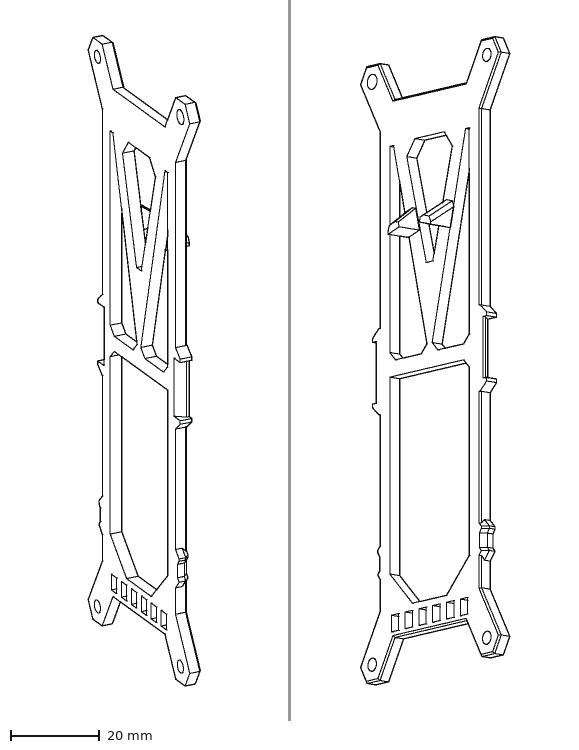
import cadquery as cq
import math

length = 142.0
width = 49.3
plate_thickness = 3.0
total_depth = 9.0
rear_chamfer = 0.4

ear_radius = 4.5
arm_slope = math.tan(math.radians(60))
ear_flat_distance = ear_radius * math.sin(math.radians(60))
hole_x = width / 2 - ear_radius
hole_z = length / 2 - ear_flat_distance
hole_diameter = 3.0
large_hole_diameter = 3.4

rail_outer = 17.8
rail_inner = 13.9
end_bar_edge = 61.9
crossbar_half_height = 1.8
small_chamfer = 2.0

side_window_top = 51.3
side_window_top_x = 12.6
brace_outer_foot_x = 0.92
center_window_top = 51.7
center_window_top_x = 5.1
center_window_shoulder_x = 8.0
center_window_shoulder_z = 48.0
center_window_foot_x = 1.1
center_window_foot_z = 22.6

lower_window_bottom = -55.1
lower_window_chamfer = 8.0
slot_count = 6
slot_pitch = 4.8
slot_width = 2.5
slot_height = 3.8
slot_center_z = -58.6

pad_half_height = 7.1
pad_root_x = 16.9
pad_outer_x = 18.7
pad_slant_depth = 2.3
barb_x = 20.0
barb_tip_z = 8.0
barb_root_z = 10.0

clip_peak_x = 19.5
clip_flat_x = 18.7
clip_top = -39.3
clip_upper_peak_top = -41.0
clip_upper_peak_bottom = -41.6
clip_flat_top = -42.6
clip_flat_bottom = -45.9
clip_lower_peak = -46.7
clip_bottom = -48.7
clip_straight_depth = 1.7
clip_embed = 1.7

hook_rise = 4.1
brace_lean = 0.25
hook_underside = [(3.5, 30.4), (7.4, 29.3)]
hook_roof = [(7.5, 29.8), (7.0, 31.2), (5.0, 31.8), (3.8, 31.5)]


def prism(points, start=0.0, end=plate_thickness):
    """Extrude an (x, z) outline along +Y between two depths."""
    return cq.Workplane("XZ", origin=(0, start, 0)).polyline(points).close().extrude(start - end)


def ruled_solid(start_points, start, end, end_points):
    """Straight-sided solid from an outline at one depth to a moved outline at another."""
    base = cq.Wire.makePolygon([cq.Vector(x, start, z) for x, z in start_points], close=True)
    tip = cq.Wire.makePolygon([cq.Vector(x, end, z) for x, z in end_points], close=True)
    return cq.Workplane(obj=cq.Solid.makeLoft([base, tip], True))


def add_mirrored(body, feature):
    return body.union(feature).union(feature.mirror("YZ"))


def cut_mirrored(body, feature):
    return body.cut(feature).cut(feature.mirror("YZ"))


def frame_blank():
    """Outer outline, symmetric about both axes, with its rear edge chamfered."""
    ear_inner_x = hole_x - ear_radius / 2
    quarter = [
        (ear_inner_x - (length / 2 - end_bar_edge) / arm_slope, end_bar_edge),
        (ear_inner_x, length / 2),
        (hole_x + ear_radius / 2, length / 2),
        (width / 2, hole_z),
        (rail_outer, hole_z - (width / 2 - rail_outer) * arm_slope),
    ]
    right = quarter + [(x, -z) for x, z in reversed(quarter)]
    left = [(-x, z) for x, z in reversed(right)]
    return prism(right + left).faces(">Y").chamfer(rear_chamfer)


def side_window():
    bottom = crossbar_half_height
    return prism([
        (rail_inner, side_window_top),
        (rail_inner, bottom + small_chamfer),
        (rail_inner - small_chamfer, bottom),
        (brace_outer_foot_x + small_chamfer, bottom),
        (brace_outer_foot_x, bottom + small_chamfer),
        (side_window_top_x, side_window_top),
    ])


def center_window():
    right = [
        (center_window_top_x, center_window_top),
        (center_window_shoulder_x, center_window_shoulder_z),
        (center_window_foot_x, center_window_foot_z),
    ]
    return prism(right + [(-x, z) for x, z in reversed(right)])


def lower_window():
    """Large window; of its upper corners only the left one is chamfered."""
    top = -crossbar_half_height
    bottom = lower_window_bottom
    return prism([
        (rail_inner, top),
        (rail_inner, bottom + lower_window_chamfer),
        (rail_inner - lower_window_chamfer, bottom),
        (-rail_inner + lower_window_chamfer, bottom),
        (-rail_inner, bottom + lower_window_chamfer),
        (-rail_inner, top - small_chamfer),
        (-rail_inner + small_chamfer, top),
    ])


def slots():
    row = cq.Workplane("XZ", origin=(0, 0, slot_center_z)).rarray(slot_pitch, 1.4, slot_count, 1)
    return row.rect(slot_width, slot_height).extrude(-plate_thickness)


def ear_hole(x, z, diameter):
    return cq.Workplane("XZ", origin=(x, 0, z)).circle(diameter / 2).extrude(-plate_thickness)


def barb(side):
    """Right-hand barb above (side = 1) or below (side = -1) the pad."""
    return prism([
        (pad_root_x, side * pad_half_height),
        (barb_x, side * pad_half_height),
        (barb_x, side * barb_tip_z),
        (rail_outer, side * barb_root_z),
        (pad_root_x, side * barb_root_z),
    ])


def pad_recess():
    recess_width = barb_x - pad_root_x
    return cq.Workplane("XY").box(recess_width, plate_thickness, 2 * pad_half_height).translate(
        (pad_root_x + recess_width / 2, plate_thickness / 2, 0))


def pad():
    profile = [
        (pad_root_x, 0),
        (pad_outer_x, pad_slant_depth),
        (pad_outer_x, plate_thickness),
        (pad_root_x, plate_thickness),
    ]
    base = cq.Workplane("XY", origin=(0, 0, -pad_half_height))
    return base.polyline(profile).close().extrude(2 * pad_half_height)


def lower_clip():
    """Right-hand clip; its rear part slopes in toward the rail at 45 degrees."""
    root_x = rail_outer - clip_embed
    outline = [
        (root_x, clip_top),
        (rail_outer, clip_top),
        (clip_peak_x, clip_upper_peak_top),
        (clip_peak_x, clip_upper_peak_bottom),
        (clip_flat_x, clip_flat_top),
        (clip_flat_x, clip_flat_bottom),
        (clip_peak_x, clip_lower_peak),
        (rail_outer, clip_bottom),
        (root_x, clip_bottom),
    ]
    inset = plate_thickness - clip_straight_depth
    moved = [(x - inset, z) for x, z in outline]
    straight = prism(outline, 0, clip_straight_depth)
    return straight.union(ruled_solid(outline, clip_straight_depth, plate_thickness, moved))


def hook():
    """Right-hand hook: underside square to the brace arm, roofed top falling toward the tip."""
    roof_at_plate = [(x + hook_rise * brace_lean, z + hook_rise) for x, z in hook_roof]
    section_at_plate = hook_underside + roof_at_plate
    return ruled_solid(section_at_plate, plate_thickness, total_depth, hook_underside + hook_roof)


body = frame_blank()
body = cut_mirrored(body, side_window())
body = body.cut(center_window())
body = body.cut(lower_window())
body = body.cut(slots())

for x_side in (-1, 1):
    for z_side in (-1, 1):
        is_upper_right = x_side == 1 and z_side == 1
        diameter = large_hole_diameter if is_upper_right else hole_diameter
        body = body.cut(ear_hole(x_side * hole_x, z_side * hole_z, diameter))

body = cut_mirrored(body, pad_recess())
for feature in (barb(1), barb(-1), pad(), lower_clip(), hook()):
    body = add_mirrored(body, feature)

result = body